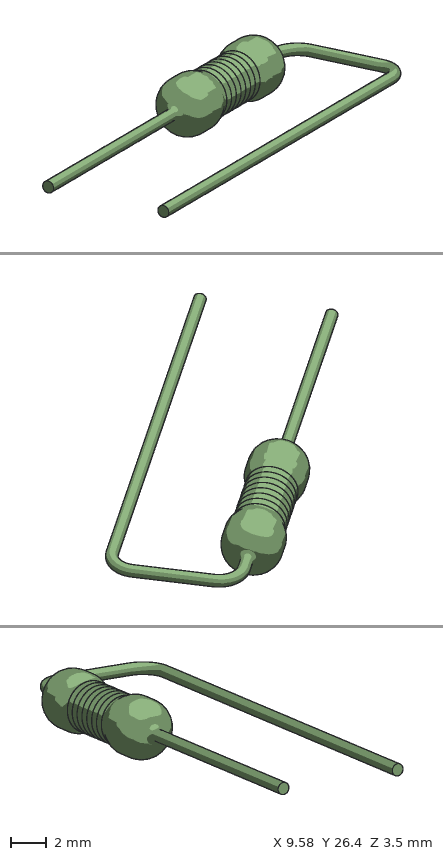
import cadquery as cq
import math


wire_diameter = 0.7
wire_radius = wire_diameter / 2
lead_pitch = 7.48
bend_radius = 1.42
overall_length = 26.35
lead_top = 7.75
lead_end = lead_top - overall_length
cross_y = lead_top - wire_radius

cap_diameter = 3.5
cap_radius = cap_diameter / 2
waist_diameter = 2.98
waist_radius = waist_diameter / 2
band_diameter = 3.0
band_radius = band_diameter / 2
band_count = 4
waist_half = 1.8
band_width = 2 * waist_half / (2 * band_count - 1)
cap_inner = 2.77
cap_outer = 3.72
dome_radius = 1.3
collar_end = 5.32


def point_on_circle(center, radius, angle):
    return (center[0] + radius * math.cos(angle), center[1] + radius * math.sin(angle))


def make_body():
    """Plain waist cylinder between two mirrored revolved end caps."""
    shoulder_length = cap_inner - waist_half
    shoulder_step = cap_radius - waist_radius
    shoulder_middle = ((waist_radius + cap_radius) / 2, (waist_half + cap_inner) / 2)

    dome_center = (cap_radius - dome_radius, cap_outer)
    rise = collar_end - cap_outer
    offset = wire_radius - dome_center[0]
    collar_radius = (offset**2 + rise**2 - dome_radius**2) / (2 * (dome_radius - offset))
    collar_center = (wire_radius + collar_radius, collar_end)
    dome_angle = math.atan2(rise, collar_center[0] - dome_center[0])
    dome_tip = point_on_circle(dome_center, dome_radius, dome_angle)
    dome_middle = point_on_circle(dome_center, dome_radius, dome_angle / 2)
    collar_middle = point_on_circle(collar_center, collar_radius, math.pi + dome_angle / 2)

    shoulder_angle = 2 * math.atan2(shoulder_step, shoulder_length)
    shoulder_radius = shoulder_length / (2 * math.sin(shoulder_angle))
    inner_center = (waist_radius + shoulder_radius, waist_half)
    outer_center = (cap_radius - shoulder_radius, cap_inner)
    inner_middle = point_on_circle(inner_center, shoulder_radius, math.pi - shoulder_angle / 2)
    outer_middle = point_on_circle(outer_center, shoulder_radius, -shoulder_angle / 2)

    cap = (
        cq.Workplane("XY")
        .moveTo(0, waist_half)
        .lineTo(waist_radius, waist_half)
        .threePointArc(inner_middle, shoulder_middle)
        .threePointArc(outer_middle, (cap_radius, cap_inner))
        .lineTo(cap_radius, cap_outer)
        .threePointArc(dome_middle, dome_tip)
        .threePointArc(collar_middle, (wire_radius, collar_end))
        .lineTo(0, collar_end)
        .close()
        .revolve(360, (0, 0, 0), (0, 1, 0))
    )
    waist = (
        cq.Workplane("XZ", origin=(0, -waist_half, 0))
        .circle(waist_radius)
        .extrude(-2 * waist_half)
    )
    return waist.union(cap).union(cap.mirror("XZ"))


def make_band(start_y):
    """One colour band, standing slightly proud of the waist."""
    return (
        cq.Workplane("XZ", origin=(0, start_y, 0))
        .circle(band_radius)
        .extrude(-band_width)
    )


def make_lead():
    """One wire through the body, folded back parallel to itself."""
    bend_start = cross_y - bend_radius
    path = (
        cq.Workplane("XY")
        .moveTo(0, lead_end)
        .lineTo(0, bend_start)
        .radiusArc((bend_radius, cross_y), bend_radius)
        .lineTo(lead_pitch - bend_radius, cross_y)
        .radiusArc((lead_pitch, bend_start), bend_radius)
        .lineTo(lead_pitch, lead_end)
    )
    return cq.Workplane("XZ", origin=(0, lead_end, 0)).circle(wire_radius).sweep(path)


result = make_body()
for index in range(band_count):
    result = result.union(make_band(-waist_half + 2 * index * band_width))
result = result.union(make_lead())